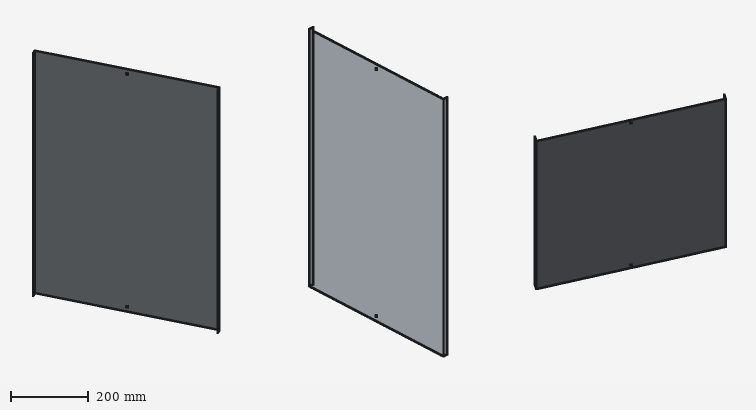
import cadquery as cq

width = 504.0
depth = 14.5
height = 760.0
sheet = 0.8
hole_diameter = 5.0
hole_edge_distance = 15.0


def folded_panel():
    """Flat panel at the +Y side, open toward -Y between the two flanges."""
    envelope = cq.Workplane("XY").box(width, depth, height)
    opening = (
        cq.Workplane("XY")
        .box(width - 2 * sheet, depth, height)
        .translate((0, -sheet, 0))
    )
    return envelope.cut(opening)


def mounting_holes():
    """Through-hole cutters on the centre line, near the top and bottom edges."""
    hole_height = height / 2 - hole_edge_distance
    return (
        cq.Workplane("XZ")
        .pushPoints([(0, hole_height), (0, -hole_height)])
        .circle(hole_diameter / 2)
        .extrude(depth, both=True)
    )


result = folded_panel().cut(mounting_holes())